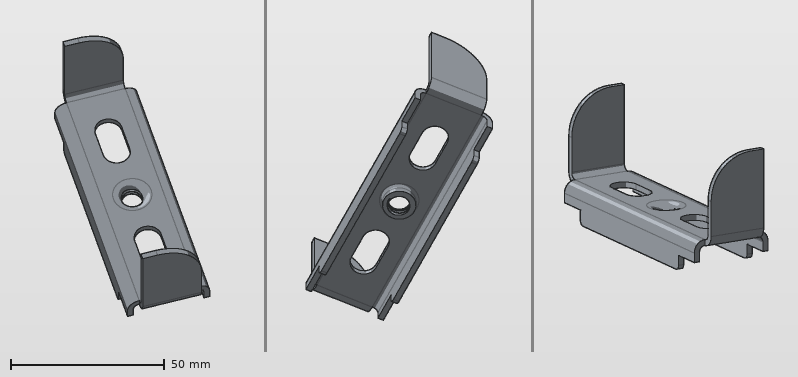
import cadquery as cq

thickness = 2.0
inner_bend = 2.0
outer_bend = inner_bend + thickness

overall_length = 91.0
overall_width = 28.0
ear_height = 28.85
tab_drop = 12.4
plate_length = overall_length - 2 * outer_bend
plate_width = overall_width - 2 * outer_bend

lip_drop = 7.3
tab_length = 62.8
tab_corner_radius = 1.7

ear_round_radius = 15.0

slot_length = 18.0
slot_width = 9.0
slot_offset = 22.5

bore_diameter = 6.8
mouth_radius = 3.0
collar_diameter = 10.9
collar_drop = 3.0
collar_root_radius = 1.0

thread_pitch = 1.3
thread_root_radius = 4.0
thread_groove_height = 1.1
thread_top = -2.1
crest_overlap = 0.1


def bent_strip(plane, half_flat, rise, width):
    """Quarter bend leaving the plate edge, then a straight wall rising to `rise` in plane coordinates."""
    bend_end = half_flat + outer_bend
    wall_inside = bend_end - thickness
    diagonal = 0.5 ** 0.5
    bend_middle_inner = (half_flat + inner_bend * diagonal, inner_bend * (1 - diagonal))
    bend_middle_outer = (half_flat + outer_bend * diagonal, inner_bend - outer_bend * diagonal)
    return (
        cq.Workplane(plane)
        .moveTo(half_flat, 0)
        .threePointArc(bend_middle_inner, (wall_inside, inner_bend))
        .lineTo(wall_inside, rise)
        .lineTo(bend_end, rise)
        .lineTo(bend_end, inner_bend)
        .threePointArc(bend_middle_outer, (half_flat, -thickness))
        .close()
        .extrude(width / 2, both=True)
    )


def make_plate():
    return cq.Workplane("XY").rect(plate_length, plate_width).extrude(-thickness)


def make_ear():
    """Upright ear at the +X end, its +Y top corner rounded."""
    ear = bent_strip("XZ", plate_length / 2, ear_height, plate_width)
    return ear.edges("|X and >Y and >Z").fillet(ear_round_radius)


def make_flange():
    """Downturned flange on the +Y side, with a longer tab in the middle."""
    plane = cq.Plane(origin=(0, 0, -thickness), xDir=(0, 1, 0), normal=(-1, 0, 0))
    flange = bent_strip(plane, plate_width / 2, lip_drop - thickness, plate_length)
    tab_height = tab_drop - lip_drop
    tab = (
        cq.Workplane("XY")
        .box(tab_length, thickness, tab_height)
        .edges("|Y and <Z")
        .fillet(tab_corner_radius)
        .translate((0, (overall_width - thickness) / 2, -lip_drop - tab_height / 2))
    )
    return flange.union(tab)


def make_slots():
    return (
        cq.Workplane("XY")
        .pushPoints([(-slot_offset, 0), (slot_offset, 0)])
        .slot2D(slot_length, slot_width)
        .extrude(-thickness)
    )


def make_collar():
    """Solid collar below the plate, flared at its root."""
    radius = collar_diameter / 2
    bottom = -thickness - collar_drop
    return (
        cq.Workplane("XZ")
        .moveTo(0, -thickness)
        .lineTo(radius + collar_root_radius, -thickness)
        .radiusArc((radius, -thickness - collar_root_radius), -collar_root_radius)
        .lineTo(radius, bottom)
        .lineTo(0, bottom)
        .close()
        .revolve(360, (0, 0), (0, 1))
    )


def make_bore():
    """Through bore opening into a rounded mouth at the plate's upper face."""
    radius = bore_diameter / 2
    bottom = -thickness - collar_drop
    return (
        cq.Workplane("XZ")
        .lineTo(radius + mouth_radius, 0)
        .radiusArc((radius, -mouth_radius), -mouth_radius)
        .lineTo(radius, bottom)
        .lineTo(0, bottom)
        .close()
        .revolve(360, (0, 0), (0, 1))
    )


def make_thread_groove():
    """V-shaped helical groove running from below the collar up into the rounded mouth."""
    crest_radius = bore_diameter / 2 - crest_overlap
    start = -thickness - collar_drop - thread_pitch
    helix = cq.Wire.makeHelix(thread_pitch, thread_top - start, crest_radius)
    groove = (
        cq.Workplane("XZ")
        .moveTo(crest_radius, -thread_groove_height / 2)
        .lineTo(thread_root_radius, 0)
        .lineTo(crest_radius, thread_groove_height / 2)
        .close()
        .sweep(cq.Workplane(helix), isFrenet=True)
    )
    return groove.rotate((0, 0, 0), (0, 0, 1), 180).translate((0, 0, start))


ear = make_ear()
flange = make_flange()
result = (
    make_plate()
    .union(ear)
    .union(ear.mirror("YZ"))
    .union(flange)
    .union(flange.mirror("XZ"))
    .cut(make_slots())
    .union(make_collar())
    .cut(make_bore())
    .cut(make_thread_groove())
)